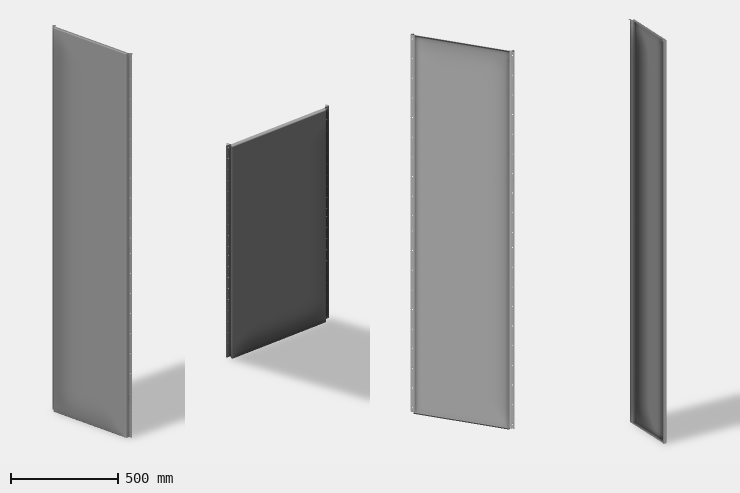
import cadquery as cq
import math

LENGTH = 1922.0
WIDTH = 525.0
DEPTH = 29.0
SHEET = 2.0
FRONT_BEND_RADIUS = 4.8
FOOT_BEND_RADIUS = 2.0

TRAY_WIDTH = 482.0
FLANGE_BACK_Y = 20.0
FLANGE_FOOT_GAP = 2.0

TAB_GAP = 2.9
TAB_TIP_WIDTH = 5.0

HOLE_DIAMETER = 5.0
HOLE_EDGE_DISTANCE = 10.0
HOLE_PITCH = 100.0
HOLES_PER_GROUP = 10
MIDDLE_GAP = 77.0

HALF_WIDTH = WIDTH / 2
WALL_X = TRAY_WIDTH / 2
FLANGE_FRONT_Y = FLANGE_BACK_Y - SHEET
TRAY_DEPTH = FLANGE_FRONT_Y - FOOT_BEND_RADIUS
FLANGE_LENGTH = LENGTH - FLANGE_FOOT_GAP
HOLE_X = HALF_WIDTH - HOLE_EDGE_DISTANCE


def mirrored_pair(right_side):
    """The given right-hand solid together with its left-hand mirror image."""
    return right_side.union(right_side.mirror("YZ"))


def tray():
    """Front face with four folded walls, open at the back."""
    block = (
        cq.Workplane("XY")
        .box(TRAY_WIDTH, TRAY_DEPTH, LENGTH, centered=(True, False, True))
        .faces("<Y").edges().fillet(FRONT_BEND_RADIUS)
    )
    return block.faces(">Y").shell(-SHEET)


def side_flange():
    """Right flange with the bend that joins it to the tray wall."""
    bend_x = WALL_X + FOOT_BEND_RADIUS
    bend_y = TRAY_DEPTH
    diagonal = math.sqrt(0.5)
    outer_radius = FOOT_BEND_RADIUS + SHEET
    front_middle = (bend_x - FOOT_BEND_RADIUS * diagonal, bend_y + FOOT_BEND_RADIUS * diagonal)
    back_middle = (bend_x - outer_radius * diagonal, bend_y + outer_radius * diagonal)
    return (
        cq.Workplane("XY", origin=(0, 0, FLANGE_FOOT_GAP - LENGTH / 2))
        .moveTo(WALL_X, bend_y)
        .threePointArc(front_middle, (bend_x, FLANGE_FRONT_Y))
        .lineTo(HALF_WIDTH, FLANGE_FRONT_Y)
        .lineTo(HALF_WIDTH, FLANGE_BACK_Y)
        .lineTo(bend_x, FLANGE_BACK_Y)
        .threePointArc(back_middle, (WALL_X - SHEET, bend_y))
        .close()
        .extrude(FLANGE_LENGTH)
    )


def top_tab():
    """Tapered tab folded back from the upper end of the right flange."""
    inner_x = WALL_X + TAB_GAP
    middle_x = (inner_x + HALF_WIDTH) / 2
    return (
        cq.Workplane("XY", origin=(0, 0, LENGTH / 2 - SHEET))
        .moveTo(inner_x, FLANGE_FRONT_Y)
        .lineTo(HALF_WIDTH, FLANGE_FRONT_Y)
        .lineTo(HALF_WIDTH, FLANGE_BACK_Y)
        .lineTo(middle_x + TAB_TIP_WIDTH / 2, DEPTH)
        .lineTo(middle_x - TAB_TIP_WIDTH / 2, DEPTH)
        .lineTo(inner_x, FLANGE_BACK_Y)
        .close()
        .extrude(SHEET)
    )


def flange_holes():
    """Cutters for both flanges, symmetric about mid-width and mid-length."""
    centers = []
    for index in range(HOLES_PER_GROUP):
        height = MIDDLE_GAP / 2 + index * HOLE_PITCH
        for side in (-1, 1):
            centers.append((side * HOLE_X, height))
            centers.append((side * HOLE_X, -height))
    return (
        cq.Workplane("XZ")
        .pushPoints(centers)
        .circle(HOLE_DIAMETER / 2)
        .extrude(-DEPTH)
    )


flanges = mirrored_pair(side_flange().union(top_tab()))
result = tray().union(flanges).cut(flange_holes())